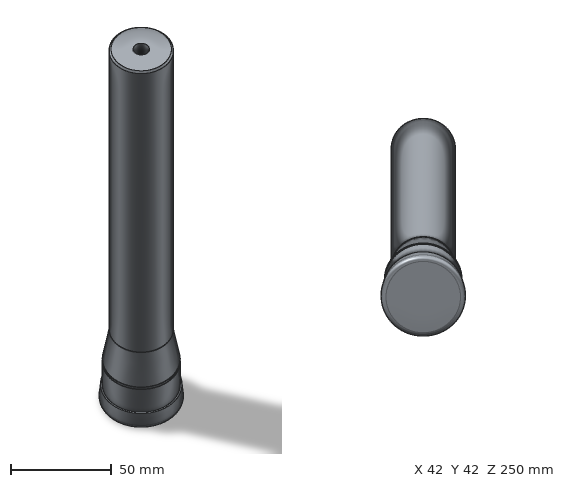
import cadquery as cq

TOTAL_HEIGHT = 250.0

ROD_DIAMETER = 32.0
ROD_CHAMFER = 1.0
BORE_DIAMETER = 8.0
BORE_DEPTH = 25.0

FOOT_HEIGHT = 50.0
FOOT_TOP_DIAMETER = 31.5
BARREL_DIAMETER = 38.8
FLARE_TOP_DIAMETER = 40.5
FLARE_BOTTOM_DIAMETER = 42.5
FLARE_HEIGHT = 10.5
BASE_ROUND = 2.5
FOOT_TOP_CHAMFER = 0.5

GROOVE_BOTTOM = 26.8
GROOVE_WIDTH = 1.5
GROOVE_DEPTH = 0.2


def make_rod():
    """Straight round rod with a chamfered top and a blind bore in its top."""
    rod_length = TOTAL_HEIGHT - FOOT_HEIGHT
    rod = (
        cq.Workplane("XY")
        .workplane(offset=FOOT_HEIGHT)
        .circle(ROD_DIAMETER / 2)
        .extrude(rod_length)
        .faces(">Z")
        .chamfer(ROD_CHAMFER)
    )
    return rod.faces(">Z").workplane().hole(BORE_DIAMETER, BORE_DEPTH)


def make_foot():
    """Turned foot: rounded base edge, flared collar, barrel, shallow groove and taper up to the rod."""
    barrel_radius = BARREL_DIAMETER / 2
    groove_radius = barrel_radius - GROOVE_DEPTH
    groove_top = GROOVE_BOTTOM + GROOVE_WIDTH
    foot = (
        cq.Workplane("XZ")
        .moveTo(0, 0)
        .lineTo(FLARE_BOTTOM_DIAMETER / 2, 0)
        .lineTo(FLARE_TOP_DIAMETER / 2, FLARE_HEIGHT)
        .lineTo(barrel_radius, FLARE_HEIGHT)
        .lineTo(barrel_radius, GROOVE_BOTTOM)
        .lineTo(groove_radius, GROOVE_BOTTOM)
        .lineTo(groove_radius, groove_top)
        .lineTo(barrel_radius, groove_top)
        .lineTo(FOOT_TOP_DIAMETER / 2, FOOT_HEIGHT)
        .lineTo(0, FOOT_HEIGHT)
        .close()
        .revolve(360, (0, 0, 0), (0, 1, 0))
    )
    foot = foot.faces("<Z").edges().fillet(BASE_ROUND)
    return foot.faces(">Z").edges().chamfer(FOOT_TOP_CHAMFER)


rod = make_rod()
foot = make_foot()

result = cq.Compound.makeCompound([rod.val(), foot.val()])